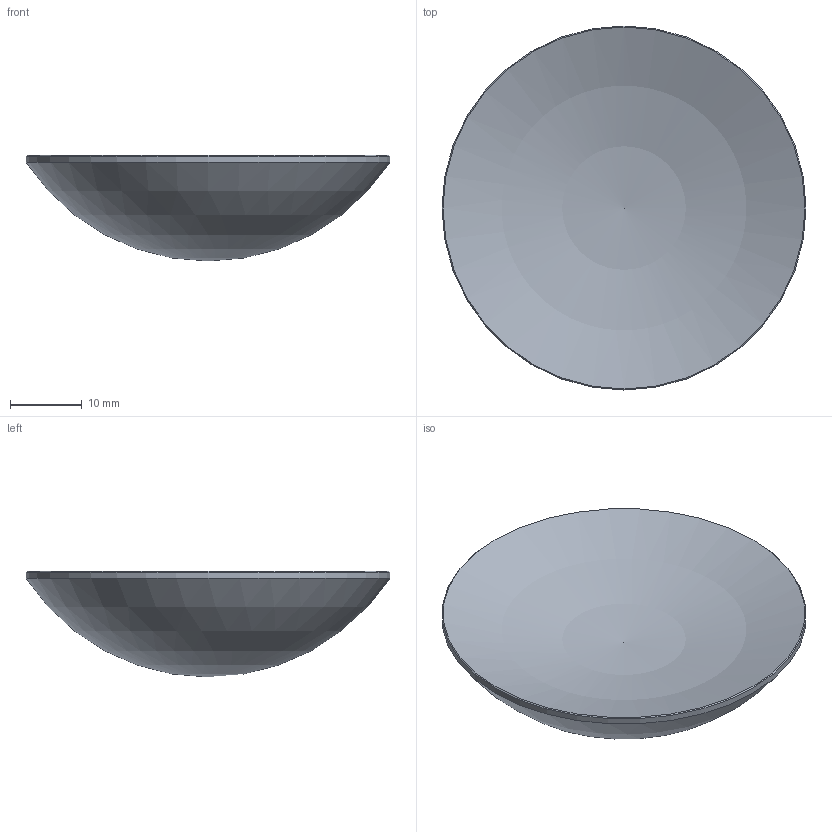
import cadquery as cq
import math

lens_diameter = 50.8
convex_radius = 30.3
concave_radius = 65.8
overall_height = 14.79
rim_chamfer = 0.14

edge_radius = lens_diameter / 2
concave_rim_radius = edge_radius - rim_chamfer


def sag(sphere_radius, distance_from_axis):
    """Depth of a spherical cap at a given distance from the lens axis."""
    return sphere_radius - math.sqrt(sphere_radius**2 - distance_from_axis**2)


convex_edge_height = sag(convex_radius, edge_radius)
concave_centre_height = overall_height - sag(concave_radius, concave_rim_radius)


def convex_point(distance_from_axis):
    return (distance_from_axis, sag(convex_radius, distance_from_axis))


def concave_point(distance_from_axis):
    return (distance_from_axis, concave_centre_height + sag(concave_radius, distance_from_axis))


def make_lens():
    """Revolve the half section, drawn in the YZ plane, about the Z axis."""
    half_section = (
        cq.Workplane("YZ")
        .moveTo(0, 0)
        .threePointArc(convex_point(edge_radius / 2), (edge_radius, convex_edge_height))
        .lineTo(edge_radius, overall_height - rim_chamfer)
        .lineTo(concave_rim_radius, overall_height)
        .threePointArc(concave_point(concave_rim_radius / 2), (0, concave_centre_height))
        .close()
    )
    return half_section.revolve(360, (0, 0), (0, 1))


result = make_lens()